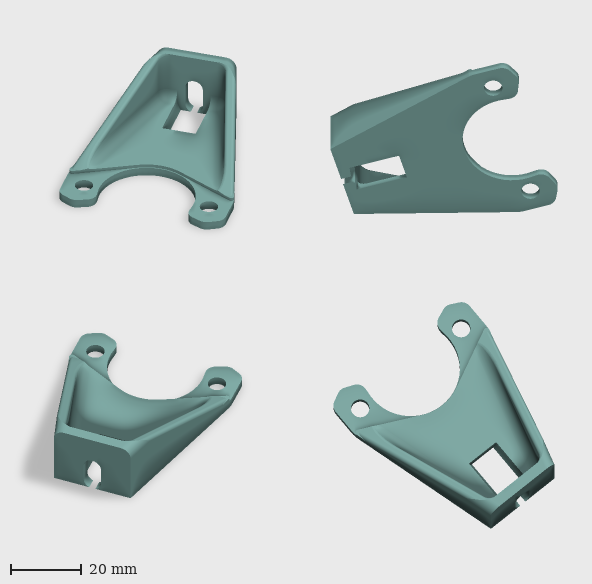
import cadquery as cq
import math

length = 57.9
height = 18.6
half_width = 24.5
half_back_width = 11.65

wall = 3.0
plate_thickness = 2.55
floor_height = 3.55

ear_corner_radius = 3.0
ear_hole_diameter = 5.2
ear_hole_x = 18.45
pivot_y = 7.7
notch_radius = 13.95
ear_bend_radius = 9.0
ear_taper_start_y = 12.5
ear_outer_corner_y = 2.3
ear_tip = (19.35, -0.3)
ear_inner_corner = (13.5, 2.1)

floor_edge_radius = 14.25
floor_edge_angle = math.radians(26)
floor_corner_radius = 0.8

slope_start_y = 54.2
slope_end_y = 13.2
rim_fillet = 1.0

slot_width = 5.2
slot_low_center_z = 2.45
slot_high_center_z = 8.05
window_width = 9.9
window_front_y = 39.9
window_arc_center_z = 3.05

side_slope = (half_width - half_back_width) / (length - ear_taper_start_y)
side_angle = math.atan(side_slope)
inner_back_y = length - wall
clearance = 5.8


def outer_half_width(y):
    """Half width of the tapered outside at a given Y."""
    return half_back_width + (length - y) * side_slope


def inner_half_width(y):
    """Half width between the side walls at a given Y."""
    return outer_half_width(y) - wall / math.cos(side_angle)


def mirrored_prism(right_points, z_bottom, z_top):
    """Prism whose outline is the given right half and its mirror image."""
    left_points = [(-x, y) for x, y in reversed(right_points)]
    outline = cq.Workplane("XY").workplane(offset=z_bottom).polyline(right_points + left_points)
    return outline.close().extrude(z_top - z_bottom)


def make_plate():
    ear_points = [
        (half_back_width, length),
        (half_width, ear_taper_start_y),
        (half_width, ear_outer_corner_y),
        ear_tip,
        ear_inner_corner,
        (notch_radius, pivot_y),
    ]
    plate = mirrored_prism(ear_points, 0, plate_thickness)
    corner_radii = [ear_bend_radius] + 3 * [ear_corner_radius]
    for (x, y), radius in zip(ear_points[1:5], corner_radii):
        for side in (-1, 1):
            corner = cq.selectors.NearestToPointSelector((side * x, y, plate_thickness / 2))
            plate = plate.edges("|Z").edges(corner).fillet(radius)
    notch = cq.Workplane("XY").center(0, pivot_y).circle(notch_radius).extrude(plate_thickness)
    return plate.cut(notch)


def make_body():
    """Tapered block with a notched front edge and rounded upper sides."""
    tangent_x = floor_edge_radius * math.sin(floor_edge_angle)
    tangent_y = pivot_y + floor_edge_radius * math.cos(floor_edge_angle)
    edge_slope = math.tan(floor_edge_angle)
    side_x_at_origin = outer_half_width(0)
    corner_x = (side_x_at_origin - side_slope * (tangent_y + tangent_x * edge_slope)) / (
        1 - side_slope * edge_slope
    )
    corner_y = tangent_y - (corner_x - tangent_x) * edge_slope
    body = (
        cq.Workplane("XY")
        .moveTo(-half_back_width, length)
        .lineTo(half_back_width, length)
        .lineTo(corner_x, corner_y)
        .lineTo(tangent_x, tangent_y)
        .threePointArc((0, pivot_y + floor_edge_radius), (-tangent_x, tangent_y))
        .lineTo(-corner_x, corner_y)
        .close()
        .extrude(height)
    )
    for side in (-1, 1):
        middle_y = (length + corner_y) / 2
        edge = cq.selectors.NearestToPointSelector((side * outer_half_width(middle_y), middle_y, height))
        rounding = body.edges(edge).val()
        body = body.newObject([body.val().fillet(wall, [rounding])])
    return body


def make_cavity():
    """Space between the walls, rounded along the floor and in the back corners."""
    front_y = -clearance
    right_points = [
        (inner_half_width(inner_back_y), inner_back_y),
        (inner_half_width(front_y), front_y),
    ]
    cavity = mirrored_prism(right_points, floor_height, height + clearance)
    cavity = cavity.edges("|Z and >Y").fillet(wall)
    return cavity.faces("<Z").edges("not <Y").fillet(wall)


def make_slope_cutter():
    """Wedge above the sloping rim."""
    rise = (height - floor_height) / (slope_start_y - slope_end_y)
    return (
        cq.Workplane("YZ")
        .moveTo(slope_start_y, height)
        .lineTo(slope_end_y, floor_height)
        .lineTo(-clearance, floor_height)
        .lineTo(-clearance, height + clearance)
        .lineTo(slope_start_y + clearance / rise, height + clearance)
        .close()
        .extrude(half_width + clearance, both=True)
    )


def round_front_corners(body):
    """Round the two upright edges at the front ends of the side walls."""
    for side in (-1, 1):
        corner = cq.selectors.NearestToPointSelector((side * half_width, 0, floor_height / 2))
        body = body.edges("|Z").edges(corner).fillet(floor_corner_radius)
    return body


def round_rims(body, half_width_at):
    """Round one long edge of each sloping rim; half_width_at gives the edge's distance from X = 0."""
    middle_y = (slope_start_y + slope_end_y) / 2
    middle_z = (height + floor_height) / 2
    for side in (-1, 1):
        rim_point = cq.Vertex.makeVertex(side * half_width_at(middle_y), middle_y, middle_z)
        rim = min(body.edges().vals(), key=rim_point.distance)
        body = body.newObject([body.val().fillet(rim_fillet, [rim])])
    return body


def make_rim_envelope():
    """Tapered wedge whose sloping outer edges are rounded; it bounds the outside of the walls."""
    right_points = [(half_back_width, length), (outer_half_width(0), 0)]
    wedge = mirrored_prism(right_points, 0, height + clearance).cut(make_slope_cutter())
    return round_rims(wedge, outer_half_width)


def make_slot():
    """Round-ended slot through the back wall, just breaking out underneath."""
    return (
        cq.Workplane("XZ", origin=(0, length, 0))
        .center(0, (slot_low_center_z + slot_high_center_z) / 2)
        .slot2D(slot_high_center_z - slot_low_center_z + slot_width, slot_width, 90)
        .extrude(wall)
    )


def make_window():
    """Floor window with straight upper sides and a rounded trough below."""
    radius = window_width / 2
    top = floor_height + wall
    return (
        cq.Workplane("XZ", origin=(0, inner_back_y, 0))
        .moveTo(-radius, top)
        .lineTo(-radius, window_arc_center_z)
        .threePointArc((0, window_arc_center_z - radius), (radius, window_arc_center_z))
        .lineTo(radius, top)
        .close()
        .extrude(inner_back_y - window_front_y)
    )


def make_ear_holes():
    centers = [(-ear_hole_x, pivot_y), (ear_hole_x, pivot_y)]
    return cq.Workplane("XY").pushPoints(centers).circle(ear_hole_diameter / 2).extrude(plate_thickness)


body = make_body().intersect(make_rim_envelope()).cut(make_cavity())
body = round_rims(body, inner_half_width)
body = round_front_corners(body)
result = make_plate().union(body)
result = result.cut(make_slot()).cut(make_window()).cut(make_ear_holes())